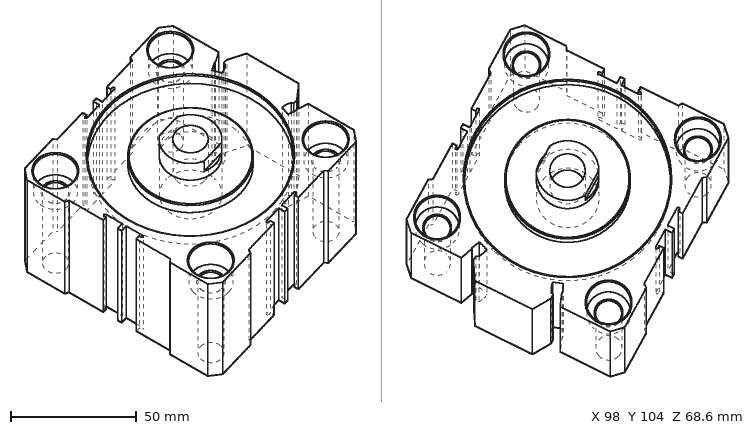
import cadquery as cq

overall_length = 104.0
body_width = 98.0
body_height = 58.5
corner_chamfer = 4.3
edge_break = 0.5
half_width = body_width / 2

lug_top_y = overall_length - half_width
lug_top_half_width = 12.9
lug_half_width = 17.4
lug_shoulder_y = 47.6
lug_lip_y = 45.8
notch_neck_x = 16.3
notch_neck_y = 45.2
notch_floor_inner_x = 14.9
notch_floor_inner_y = 41.2
notch_arc_x = 15.3
notch_arc_y = 43.3
notch_floor_outer_x = 18.8
notch_floor_outer_y = 39.8
notch_jog_y = 43.6
notch_jog_lower_x = 20.4
notch_jog_upper_x = 20.1
notch_mouth_x = 22.2

recess_depth = 1.6
recess_half_length = 26.0
recess_end_run = 0.9
recess_face = half_width - recess_depth

slot_depth = 3.0
slot_half_opening = 8.1
slot_rib_width = 2.0
undercut_half_length = 9.7
undercut_height = 1.0
slot_floor = recess_face - slot_depth

hole_offset = 38.5
hole_diameter = 10.4
counterbore_diameter = 17.6
counterbore_depth = 13.5

cover_diameter = 82.0
cover_depth = 5.5
collar_diameter = 50.0
collar_drop = 0.5

rod_diameter = 25.0
rod_projection = 10.1
rod_top = body_height + rod_projection
rod_seat_depth = 25.0
rod_seat = body_height - rod_seat_depth
rod_flats_width = 22.0
rod_flats_height = 6.5
rod_bore_diameter = 14.0
rod_bore_depth = 21.0


def cylinder(diameter, bottom, top):
    return cq.Workplane("XY").workplane(offset=bottom).circle(diameter / 2).extrude(top - bottom)


def bore_with_broken_edge(diameter, bottom, top):
    """Cutter for a round bore whose top edge widens in a small 45 degree chamfer."""
    radius = diameter / 2
    return (
        cq.Workplane("XZ")
        .moveTo(0, bottom)
        .lineTo(radius, bottom)
        .lineTo(radius, top - edge_break)
        .lineTo(radius + edge_break, top)
        .lineTo(0, top)
        .close()
        .revolve(360, (0, 0), (0, 1))
    )


def block_with_lug():
    """Square block with chamfered corners, plus the stock that the port lug is cut from."""
    block = cq.Workplane("XY").rect(body_width, body_width).extrude(body_height)
    block = block.edges("|Z").chamfer(corner_chamfer)
    lug = (
        cq.Workplane("XY")
        .moveTo(-lug_half_width, 0)
        .lineTo(-lug_half_width, lug_shoulder_y)
        .lineTo(-lug_top_half_width, lug_top_y)
        .lineTo(lug_top_half_width, lug_top_y)
        .lineTo(lug_half_width, lug_shoulder_y)
        .lineTo(lug_half_width, 0)
        .close()
        .extrude(body_height)
    )
    return block.union(lug)


def lug_notch():
    """Undercut notch on the -X side of the lug, open to +Y between lug and block."""
    lug_flank_run_per_rise = (lug_half_width - lug_top_half_width) / (lug_top_y - lug_shoulder_y)
    lug_x_at_face = lug_half_width - lug_flank_run_per_rise * (half_width - lug_shoulder_y)
    return (
        cq.Workplane("XY")
        .moveTo(-lug_x_at_face, half_width)
        .lineTo(-lug_half_width, lug_shoulder_y)
        .lineTo(-lug_half_width, lug_lip_y)
        .lineTo(-notch_neck_x, notch_neck_y)
        .threePointArc((-notch_arc_x, notch_arc_y), (-notch_floor_inner_x, notch_floor_inner_y))
        .lineTo(-notch_floor_outer_x, notch_floor_outer_y)
        .lineTo(-notch_jog_lower_x, notch_jog_y)
        .lineTo(-notch_jog_upper_x, notch_jog_y)
        .lineTo(-notch_mouth_x, half_width)
        .close()
        .extrude(body_height)
    )


def side_groove():
    """Everything cut from the +X side: the shallow recess and its two sensor slots."""
    recess = (
        cq.Workplane("XY")
        .moveTo(half_width, -recess_half_length)
        .lineTo(half_width, recess_half_length)
        .lineTo(recess_face, recess_half_length - recess_end_run)
        .lineTo(recess_face, -recess_half_length + recess_end_run)
        .close()
        .extrude(body_height)
    )
    openings = (
        cq.Workplane("XY")
        .moveTo(slot_floor + slot_depth / 2, 0)
        .rect(slot_depth, 2 * slot_half_opening)
        .extrude(body_height)
    )
    undercuts = (
        cq.Workplane("XY")
        .moveTo(slot_floor + undercut_height / 2, 0)
        .slot2D(2 * undercut_half_length, undercut_height, 90)
        .extrude(body_height)
    )
    rib = (
        cq.Workplane("XY")
        .moveTo(slot_floor + slot_depth / 2, 0)
        .rect(slot_depth, slot_rib_width)
        .extrude(body_height)
    )
    return recess.union(openings.union(undercuts).cut(rib))


def mounting_hole(x, y):
    """Through hole with a counterbore from the top, both with a broken edge."""
    seat = body_height - counterbore_depth
    hole = bore_with_broken_edge(hole_diameter, 0, seat)
    counterbore = bore_with_broken_edge(counterbore_diameter, seat, body_height)
    return hole.union(counterbore).translate((x, y, 0))


def cover_recess():
    """Ring-shaped recess in the top around the collar, with broken edges."""
    floor = body_height - cover_depth
    collar_top = body_height - collar_drop
    pocket = bore_with_broken_edge(cover_diameter, floor, body_height)
    collar = cylinder(collar_diameter, floor, collar_top).faces(">Z").chamfer(edge_break)
    return pocket.cut(collar)


def build_housing():
    housing = block_with_lug()
    notch = lug_notch()
    housing = housing.cut(notch).cut(notch.mirror("YZ"))
    for turn in (0, 180, 270):
        housing = housing.cut(side_groove().rotate((0, 0, 0), (0, 0, 1), turn))
    for x in (-hole_offset, hole_offset):
        for y in (-hole_offset, hole_offset):
            housing = housing.cut(mounting_hole(x, y))
    housing = housing.cut(cover_recess())
    return housing.cut(cylinder(rod_diameter, rod_seat, body_height))


def build_rod():
    """Round rod with two wrench flats facing -X and +X and a blind bore in its end."""
    flats_bottom = rod_top - rod_flats_height
    rod = cylinder(rod_diameter, rod_seat, flats_bottom)
    tip = cylinder(rod_diameter, flats_bottom, rod_top)
    between_flats = (
        cq.Workplane("XY")
        .workplane(offset=flats_bottom)
        .rect(rod_flats_width, rod_diameter)
        .extrude(rod_flats_height)
    )
    rod = rod.union(tip.intersect(between_flats))
    return rod.cut(cylinder(rod_bore_diameter, rod_top - rod_bore_depth, rod_top))


housing = build_housing()
rod = build_rod()

result = cq.Compound.makeCompound([housing.val(), rod.val()])